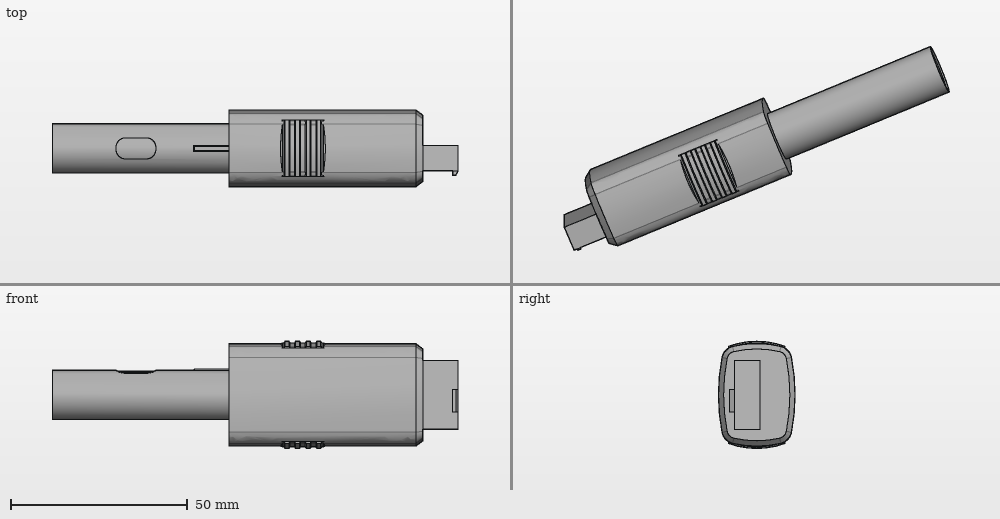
import cadquery as cq
import math

handle_length = 50.0
body_length = 55.0
plug_length = 10.0
body_start = handle_length
body_end = body_start + body_length
total_length = body_end + plug_length

handle_diameter = 14.0
tip_recess_diameter = 13.0
tip_recess_depth = 0.5
window_floor_diameter = 13.5
window_length = 11.3
window_width = 6.0
window_corner_diameter = 5.5
window_center_x = 23.7

key_length = 10.0
key_base_width = 1.7
key_top_width = 1.1
key_top_z = 7.35

body_width = 21.76
body_height = 29.0
side_radius = 55.0
top_radius = 30.0
body_corner_radius = 4.0
end_chamfer_length = 2.0
end_chamfer_depth = 1.5
corner_refinements = 20

grip_center_x = body_start + 21.0
grip_crest_z = 15.2
grip_arc_radius = 23.0
grip_width = 16.0
grip_base_length = 12.9
grip_floor_length = 11.7
grip_shoulder_drop = 0.3
grip_depth = 2.5
grip_rib_count = 4
grip_rib_pitch = 3.0
grip_rib_height = 0.45
grip_rib_base_width = 1.7
grip_rib_top_width = 1.1

plug_height = 19.6
plug_top_y = 0.85
plug_thickness = 7.2
latch_start_x = total_length - 1.6
latch_crest_length = 0.9
latch_height = 1.3
latch_top_z = 1.5
latch_length = 6.3


def make_handle():
    """Cylinder with a recessed tip and a window whose floor follows the round surface."""
    handle = cq.Workplane("YZ").circle(handle_diameter / 2).extrude(handle_length)
    tip_recess = cq.Workplane("YZ").circle(tip_recess_diameter / 2).extrude(tip_recess_depth)
    window_floor = cq.Workplane("YZ").circle(window_floor_diameter / 2).extrude(handle_length)
    window = (
        cq.Workplane("XY")
        .center(window_center_x, 0)
        .rect(window_length, window_width)
        .extrude(handle_diameter)
        .edges("|Z")
        .fillet(window_corner_diameter / 2)
    )
    return handle.cut(tip_recess).cut(window.cut(window_floor))


def make_key():
    """Straight key with sloping flanks and end, running up to the body."""
    slope = (key_base_width - key_top_width) / 2
    base_z = math.sqrt((handle_diameter / 2) ** 2 - (key_base_width / 2) ** 2)
    length = 2 * key_length
    height = key_top_z - base_z
    return (
        cq.Workplane("XY", origin=(body_start, 0, base_z))
        .rect(length, key_base_width)
        .workplane(offset=height)
        .rect(length - 2 * slope, key_top_width)
        .loft(combine=True)
    )


def bulge_point(half_span, radius, offset):
    """Distance from the middle of a bulging side at a given offset along it."""
    return half_span - radius + math.sqrt(radius**2 - offset**2)


def find_body_corner():
    """Sharp corner where a bulging side meets the bulging top."""
    y = body_width / 2
    z = body_height / 2
    for _ in range(corner_refinements):
        y = bulge_point(body_width / 2, side_radius, z)
        z = bulge_point(body_height / 2, top_radius, y)
    return y, z


def make_body():
    y, z = find_body_corner()
    body = (
        cq.Workplane("YZ", origin=(body_start, 0, 0))
        .moveTo(-y, -z)
        .threePointArc((0, -body_height / 2), (y, -z))
        .threePointArc((body_width / 2, 0), (y, z))
        .threePointArc((0, body_height / 2), (-y, z))
        .threePointArc((-body_width / 2, 0), (-y, -z))
        .close()
        .extrude(body_length)
        .edges("|X")
        .fillet(body_corner_radius)
    )
    end_face = body.faces(">X").val()
    solid = body.val().chamfer(end_chamfer_length, end_chamfer_depth, end_face.Edges())
    return cq.Workplane("XY").newObject([solid])


def make_grip():
    """Ribbed pad bent around an axis parallel to X, trimmed to its width."""
    axis_z = grip_crest_z - grip_arc_radius
    floor_z = grip_crest_z - grip_rib_height
    shoulder_z = floor_z - grip_shoulder_drop
    profile = cq.Workplane("XZ").moveTo(grip_center_x - grip_base_length / 2, floor_z - grip_depth)
    profile = profile.lineTo(grip_center_x - grip_base_length / 2, shoulder_z)
    profile = profile.lineTo(grip_center_x - grip_floor_length / 2, floor_z)
    for index in range(grip_rib_count):
        rib_x = grip_center_x + (index - (grip_rib_count - 1) / 2) * grip_rib_pitch
        profile = (
            profile.lineTo(rib_x - grip_rib_base_width / 2, floor_z)
            .lineTo(rib_x - grip_rib_top_width / 2, grip_crest_z)
            .lineTo(rib_x + grip_rib_top_width / 2, grip_crest_z)
            .lineTo(rib_x + grip_rib_base_width / 2, floor_z)
        )
    ring = (
        profile.lineTo(grip_center_x + grip_floor_length / 2, floor_z)
        .lineTo(grip_center_x + grip_base_length / 2, shoulder_z)
        .lineTo(grip_center_x + grip_base_length / 2, floor_z - grip_depth)
        .close()
        .revolve(360, (0, axis_z, 0), (1, axis_z, 0))
    )
    trim = cq.Workplane("XY", origin=(grip_center_x, 0, 0)).rect(2 * grip_base_length, grip_width)
    return ring.intersect(trim.extrude(2 * grip_crest_z))


def make_plug():
    blade = cq.Workplane("XY").box(
        plug_length, plug_thickness, plug_height, centered=(False, False, True)
    )
    return blade.translate((body_end, plug_top_y - plug_thickness, 0))


def make_latch():
    """Wedge on the -Y face of the plug, sloping towards the plug tip."""
    plug_face_y = plug_top_y - plug_thickness
    return (
        cq.Workplane("XY", origin=(0, 0, latch_top_z))
        .moveTo(latch_start_x, plug_face_y)
        .lineTo(latch_start_x, plug_face_y - latch_height)
        .lineTo(latch_start_x + latch_crest_length, plug_face_y - latch_height)
        .lineTo(total_length, plug_face_y)
        .close()
        .extrude(-latch_length)
    )


top_grip = make_grip()
bottom_grip = top_grip.mirror("XY")

result = (
    make_body()
    .union(make_handle())
    .union(make_key())
    .union(top_grip)
    .union(bottom_grip)
    .union(make_plug())
    .union(make_latch())
)